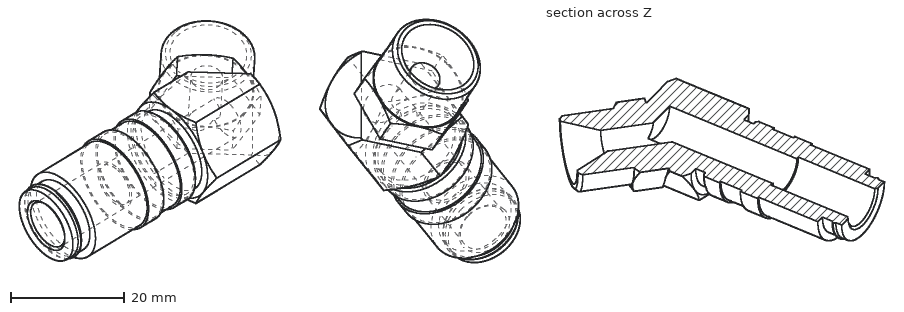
import cadquery as cq
import math

OUTLET_ANGLE = 45

FREE_END_Y = -37.6
STUB_LENGTH = 4.05
STUB_RADIUS = 7.05
RING_CENTER = 1.6
RING_RADIUS = 6.9
RING_SECTION_RADIUS = 0.4
SLEEVE_RADIUS = 8.55
SLEEVE_END = 28.05
BAND_RADIUS = 8.95
BAND_CHAMFER = 0.45
LOWER_BAND_START = 16.4
LOWER_BAND_END = 20.05
UPPER_BAND_START = 24.35
NECK_RADIUS = 7.95

BODY_HEX_FLATS = 19.0
BODY_HEX_START = 30.0
BODY_HEX_LENGTH = 17.05

OUTLET_HEX_FLATS = 17.0
OUTLET_HEX_START = 4.9
OUTLET_HEX_LENGTH = 5.95
OUTLET_END = 20.85
OUTLET_RADIUS = 8.3
OUTLET_CHAMFER = 0.7
HEX_CHAMFER_ANGLE = 30

INLET_RADIUS = 4.45
INLET_MOUTH_RADIUS = 4.9
INLET_MOUTH_DEPTH = 0.4
INNER_BORE_RADIUS = 3.9
INNER_BORE_START = LOWER_BAND_START
INLET_FLOOR_Y = 5.5
OUTLET_BORE_RADIUS = 2.8
CONE_MOUTH_RADIUS = 6.8
CONE_DEPTH = 6.4

INLET_PLANE = cq.Plane(origin=(0, FREE_END_Y, 0), xDir=(1, 0, 0), normal=(0, 1, 0))
angle = math.radians(OUTLET_ANGLE)
OUTLET_PLANE = cq.Plane(
    origin=(0, 0, 0),
    xDir=(math.cos(angle), math.sin(angle), 0),
    normal=(-math.sin(angle), math.cos(angle), 0),
)


def cylinder(plane, radius, start, end):
    return cq.Workplane(plane).workplane(offset=start).circle(radius).extrude(end - start)


def cone(plane, start_radius, end_radius, start, end):
    profile = [(0, start), (start_radius, start), (end_radius, end), (0, end)]
    local = cq.Workplane("XZ").polyline(profile).close()
    solid = local.revolve(360, (0, 0), (0, 1)).val()
    return cq.Workplane(solid.moved(plane.location))


def hexagon(plane, across_flats, start, length, chamfer_start):
    """Hexagonal prism with its corners turned down to the flats at its ends."""
    flat_radius = across_flats / 2
    corner_radius = flat_radius / math.cos(math.pi / 6)
    drop = (corner_radius - flat_radius) * math.tan(math.radians(HEX_CHAMFER_ANGLE))
    end = start + length
    prism = cq.Workplane(plane).workplane(offset=start).polygon(6, 2 * corner_radius).extrude(length)
    envelope = cylinder(plane, corner_radius, start, end - drop)
    envelope = envelope.union(cone(plane, corner_radius, flat_radius, end - drop, end))
    if chamfer_start:
        envelope = envelope.intersect(
            cone(plane, flat_radius, corner_radius, start, start + drop).union(
                cylinder(plane, corner_radius, start + drop, end)
            )
        )
    return prism.intersect(envelope)


def make_sleeve():
    sleeve = cylinder(INLET_PLANE, STUB_RADIUS, 0, STUB_LENGTH)
    ring_position = cq.Vector(0, FREE_END_Y + RING_CENTER, 0)
    ring = cq.Solid.makeTorus(RING_RADIUS, RING_SECTION_RADIUS, ring_position, INLET_PLANE.zDir)
    sleeve = sleeve.union(cq.Workplane(ring))
    sleeve = sleeve.union(cylinder(INLET_PLANE, SLEEVE_RADIUS, STUB_LENGTH, UPPER_BAND_START))
    sleeve = sleeve.union(cylinder(INLET_PLANE, BAND_RADIUS, LOWER_BAND_START, LOWER_BAND_END))
    upper_band = cylinder(INLET_PLANE, BAND_RADIUS, UPPER_BAND_START, SLEEVE_END)
    sleeve = sleeve.union(upper_band.faces(">Y").chamfer(BAND_CHAMFER))
    return sleeve.union(cylinder(INLET_PLANE, NECK_RADIUS, SLEEVE_END, BODY_HEX_START))


def make_body_hex():
    body = hexagon(INLET_PLANE, BODY_HEX_FLATS, BODY_HEX_START, BODY_HEX_LENGTH, True)
    cutter_width = 4 * BODY_HEX_FLATS
    cutter = cq.Workplane(OUTLET_PLANE).workplane(offset=OUTLET_HEX_START)
    return body.cut(cutter.rect(cutter_width, cutter_width).extrude(OUTLET_END))


def make_outlet():
    outlet = hexagon(OUTLET_PLANE, OUTLET_HEX_FLATS, OUTLET_HEX_START, OUTLET_HEX_LENGTH, False)
    spigot = cylinder(OUTLET_PLANE, OUTLET_RADIUS, OUTLET_HEX_START, OUTLET_END)
    end_face = spigot.faces(cq.selectors.DirectionMinMaxSelector(OUTLET_PLANE.zDir))
    return outlet.union(end_face.chamfer(OUTLET_CHAMFER))


def make_bores():
    inlet = cylinder(INLET_PLANE, INLET_RADIUS, 0, INNER_BORE_START)
    inner = cylinder(INLET_PLANE, INNER_BORE_RADIUS, INNER_BORE_START, INLET_FLOOR_Y - FREE_END_Y)
    mouth = cone(INLET_PLANE, INLET_MOUTH_RADIUS, INLET_RADIUS, 0, INLET_MOUTH_DEPTH)
    outlet = cylinder(OUTLET_PLANE, OUTLET_BORE_RADIUS, 0, OUTLET_END)
    seat = cone(OUTLET_PLANE, OUTLET_BORE_RADIUS, CONE_MOUTH_RADIUS, OUTLET_END - CONE_DEPTH, OUTLET_END)
    return inlet.union(inner).union(mouth).union(outlet).union(seat)


result = make_sleeve().union(make_body_hex()).union(make_outlet()).cut(make_bores())